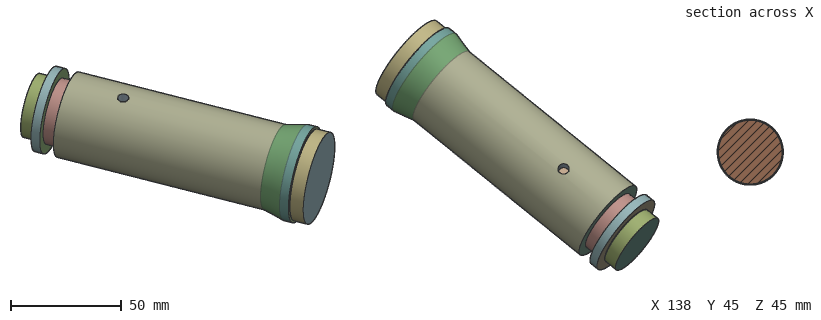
import cadquery as cq

spigot_length = 6.5
collar_length = 4.25
neck_length = 6.5
body_length = 99.5
flare_length = 10.0
rim_length = 4.25
overall_length = 138.02

spigot_diameter = 30.0
collar_diameter = 40.0
neck_diameter = 31.0
body_diameter = 40.0
rim_diameter = 45.0
end_diameter = 43.0

hole_diameter = 5.0
hole_depth = 5.0
hole_x = 44.0

groove_width = 0.25
groove_depth = 0.5

collar_start = spigot_length + groove_width
neck_start = collar_start + collar_length
body_start = neck_start + neck_length
flare_start = body_start + body_length
rim_start = flare_start + flare_length
rim_end = rim_start + rim_length
end_start = rim_end + groove_width


def turned_body():
    """Stepped shaft: the half profile revolved around the X axis."""
    half_profile = [
        (0, 0),
        (0, spigot_diameter / 2),
        (spigot_length, spigot_diameter / 2),
        (spigot_length, spigot_diameter / 2 - groove_depth),
        (collar_start, spigot_diameter / 2 - groove_depth),
        (collar_start, collar_diameter / 2),
        (neck_start, collar_diameter / 2),
        (neck_start, neck_diameter / 2),
        (body_start, neck_diameter / 2),
        (body_start, body_diameter / 2),
        (flare_start, body_diameter / 2),
        (rim_start, rim_diameter / 2),
        (rim_end, rim_diameter / 2),
        (rim_end, end_diameter / 2 - groove_depth),
        (end_start, end_diameter / 2 - groove_depth),
        (end_start, end_diameter / 2),
        (overall_length, end_diameter / 2),
        (overall_length, 0),
    ]
    return cq.Workplane("XZ").polyline(half_profile).close().revolve(360, (0, 0, 0), (1, 0, 0))


def radial_hole():
    """Blind hole entering the body from +Z."""
    floor = body_diameter / 2 - hole_depth
    return cq.Workplane("XY", origin=(hole_x, 0, floor)).circle(hole_diameter / 2).extrude(hole_depth)


result = turned_body().cut(radial_hole())